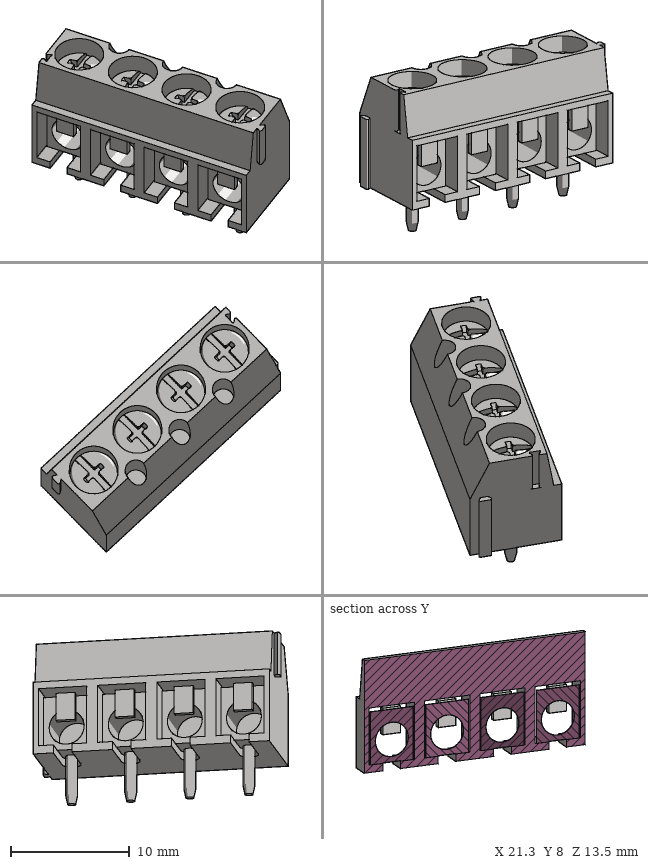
import cadquery as cq
import math

pole_count = 4
pitch = 5.08
pole_positions = [(i - (pole_count - 1) / 2) * pitch for i in range(pole_count)]

overall_length = 21.27
housing_length = 20.31
front_y = -3.8
back_y = 4.2
top_z = 10.0
shoulder_z = 6.3
ledge_depth = 0.7
top_front_inset = 1.3
top_back_inset = 1.7
top_back_y = back_y - top_back_inset

corner_radius = 0.15
left_rail_reach = 0.47
left_rail_y = 2.94
left_rail_width = 1.1
left_rail_neck = 0.7
right_rail_reach = overall_length - housing_length - left_rail_reach
right_rail_y = -1.57
right_rail_width = 0.9
right_rail_neck = 0.5
groove_depth = 0.5
groove_width = 0.94
groove_neck = 0.57
groove_flat = 0.09

entry_width = 4.13
entry_floor_z = 0.7
entry_top_z = 5.7

clamp_width = 3.95
clamp_top_z = 5.38
clamp_front_y = -2.1
clamp_back_y = -clamp_front_y
wire_bore_diameter = 3.0
wire_bore_z = 2.7
guard_width = 1.62
guard_bottom_z = 3.2
guard_top_z = 5.55
guard_thickness = 0.5

pin_diameter = 1.02
pin_tip_diameter = 0.68
pin_tip_length = 0.77
pin_reach = 3.5
pin_slot_width = 1.6

well_diameter = 4.13
screw_diameter = 4.05
screw_seat_z = 7.45
screw_rim_z = 8.17
crown_diameter = 3.23
crown_edge_z = 8.7
crown_top_z = 8.98
drive_floor_z = 8.3
drive_slot_width = 0.62
cross_slot_width = 0.47
cross_slot_length = 2.08
cross_slot_floor_length = 1.5
corner_bevel_width = 0.2
corner_bevel_depth = 0.15

notch_diameter = 1.8


def make_box(x_range, y_range, z_range):
    """Box between the given limits on each axis."""
    sizes = [limits[1] - limits[0] for limits in (x_range, y_range, z_range)]
    return cq.Workplane("XY").box(*sizes, centered=False).translate((x_range[0], y_range[0], z_range[0]))


def make_rail(root_x, center_y, reach, width, neck, bottom_z, end_z):
    """Upright dovetail rail with rounded outer corners; a negative reach points to -X."""
    tip_x = root_x + reach
    flare_x = tip_x - math.copysign(corner_radius, reach)
    arc_radius = math.copysign(corner_radius, -reach)
    tip_half = width / 2 - corner_radius
    return (
        cq.Workplane("XY", origin=(0, center_y, bottom_z))
        .moveTo(root_x, -neck / 2)
        .lineTo(flare_x, -width / 2)
        .radiusArc((tip_x, -tip_half), arc_radius)
        .lineTo(tip_x, tip_half)
        .radiusArc((flare_x, width / 2), arc_radius)
        .lineTo(root_x, neck / 2)
        .close()
        .extrude(end_z - bottom_z)
    )


def make_groove():
    """Dovetail groove in the -X side, with a rounded mouth, facing the line of the right rail."""
    mouth_x = -housing_length / 2
    neck_x = mouth_x + corner_radius
    back_x = mouth_x + groove_depth
    flare_x = back_x - groove_flat
    mouth_half = groove_neck / 2 + corner_radius
    return (
        cq.Workplane("XY", origin=(0, right_rail_y, shoulder_z))
        .moveTo(mouth_x, -mouth_half)
        .radiusArc((neck_x, -groove_neck / 2), corner_radius)
        .lineTo(flare_x, -groove_width / 2)
        .lineTo(back_x, -groove_width / 2)
        .lineTo(back_x, groove_width / 2)
        .lineTo(flare_x, groove_width / 2)
        .lineTo(neck_x, groove_neck / 2)
        .radiusArc((mouth_x, mouth_half), corner_radius)
        .close()
        .extrude(top_z - shoulder_z)
    )


def make_housing_block():
    """Plain housing profile with its sloped back, drafted front and two rails."""
    block = (
        cq.Workplane("YZ", origin=(-housing_length / 2, 0, 0))
        .polyline([
            (front_y, 0),
            (back_y, 0),
            (back_y, shoulder_z),
            (top_back_y, top_z),
            (front_y + top_front_inset, top_z),
            (front_y + ledge_depth, shoulder_z),
            (front_y, shoulder_z),
        ])
        .close()
        .extrude(housing_length)
    )
    left_rail = make_rail(
        -housing_length / 2, left_rail_y, -left_rail_reach,
        left_rail_width, left_rail_neck, 0, shoulder_z,
    )
    right_rail = make_rail(
        housing_length / 2, right_rail_y, right_rail_reach,
        right_rail_width, right_rail_neck, shoulder_z, top_z,
    )
    return block.union(left_rail).union(right_rail).cut(make_groove())


def make_wire_entry(x):
    """Rectangular entry from the front face to the back of the clamp."""
    return make_box(
        (x - entry_width / 2, x + entry_width / 2), (front_y, clamp_back_y), (entry_floor_z, entry_top_z)
    )


def make_pin_slot(x):
    """Slot in the floor, open at the front and rounded around the pin."""
    straight = make_box(
        (x - pin_slot_width / 2, x + pin_slot_width / 2), (front_y, 0), (0, entry_floor_z)
    )
    round_end = cq.Workplane("XY", origin=(x, 0, 0)).circle(pin_slot_width / 2).extrude(entry_floor_z)
    return straight.union(round_end)


def make_housing():
    housing = make_housing_block()
    for x in pole_positions:
        screw_well = (
            cq.Workplane("XY", origin=(x, 0, screw_seat_z))
            .circle(well_diameter / 2)
            .extrude(top_z - screw_seat_z)
        )
        housing = housing.cut(make_wire_entry(x)).cut(make_pin_slot(x)).cut(screw_well)
    for x in pole_positions[:-1]:
        notch = (
            cq.Workplane("XY", origin=(x + pitch / 2, top_back_y, shoulder_z))
            .circle(notch_diameter / 2)
            .extrude(top_z - shoulder_z)
        )
        housing = housing.cut(notch)
    return housing


def make_pin(x):
    """Round solder pin with a tapered tip, reaching up to the cavity floor."""
    return (
        cq.Workplane("XZ", origin=(x, 0, 0))
        .polyline([
            (0, -pin_reach),
            (pin_tip_diameter / 2, -pin_reach),
            (pin_diameter / 2, -pin_reach + pin_tip_length),
            (pin_diameter / 2, entry_floor_z),
            (0, entry_floor_z),
        ])
        .close()
        .revolve(360, (0, 0), (0, 1))
    )


def make_clamp(x):
    """Clamp standing on the cavity floor, with its bore, guard and pin in one piece."""
    block = make_box(
        (x - clamp_width / 2, x + clamp_width / 2),
        (clamp_front_y, clamp_back_y),
        (entry_floor_z, clamp_top_z),
    )
    wire_bore = (
        cq.Workplane("XZ", origin=(x, clamp_front_y, wire_bore_z))
        .circle(wire_bore_diameter / 2)
        .extrude(clamp_front_y - clamp_back_y)
    )
    guard = make_box(
        (x - guard_width / 2, x + guard_width / 2),
        (clamp_front_y - guard_thickness, clamp_front_y),
        (guard_bottom_z, guard_top_z),
    )
    return block.cut(wire_bore).union(guard).union(make_pin(x))


def make_drive_recess():
    """Through slot along Y, crossed by a shorter slot with conical ends.

    A four-sided pyramid frustum bevels the upper end of the four inner corners.
    """
    recess_depth = crown_top_z - drive_floor_z
    drive_slot = make_box(
        (-drive_slot_width / 2, drive_slot_width / 2),
        (-screw_diameter / 2, screw_diameter / 2),
        (drive_floor_z, crown_top_z),
    )
    cone = (
        cq.Workplane("XY", origin=(0, 0, drive_floor_z))
        .circle(cross_slot_floor_length / 2)
        .workplane(offset=recess_depth)
        .circle(cross_slot_length / 2)
        .loft()
    )
    cross_slot = cone.intersect(
        make_box(
            (-cross_slot_length / 2, cross_slot_length / 2),
            (-cross_slot_width / 2, cross_slot_width / 2),
            (drive_floor_z, crown_top_z),
        )
    )
    bevel_bottom_radius = (drive_slot_width + cross_slot_width) / 2
    bevel_top_radius = bevel_bottom_radius + corner_bevel_width
    corner_bevel = (
        cq.Workplane("XY", origin=(0, 0, crown_top_z - corner_bevel_depth))
        .polygon(4, 2 * bevel_bottom_radius)
        .workplane(offset=corner_bevel_depth)
        .polygon(4, 2 * bevel_top_radius)
        .loft(ruled=True)
    )
    return drive_slot.union(cross_slot).union(corner_bevel)


def make_screw(x):
    """Screw head with a rounded rim, a shallow crown, a through slot and a shorter cross slot."""
    rim_radius = screw_diameter / 2
    crown_radius = crown_diameter / 2
    rim_bulge = math.sqrt(0.5)
    rim_middle = (
        crown_radius + (rim_radius - crown_radius) * rim_bulge,
        screw_rim_z + (crown_edge_z - screw_rim_z) * rim_bulge,
    )
    crown_height = crown_top_z - crown_edge_z
    sphere_radius = (crown_radius**2 + crown_height**2) / (2 * crown_height)
    middle_radius = crown_radius / 2
    middle_drop = sphere_radius - math.sqrt(sphere_radius**2 - middle_radius**2)
    crown_middle = (middle_radius, crown_top_z - middle_drop)
    head = (
        cq.Workplane("XZ")
        .moveTo(0, screw_seat_z)
        .lineTo(rim_radius, screw_seat_z)
        .lineTo(rim_radius, screw_rim_z)
        .threePointArc(rim_middle, (crown_radius, crown_edge_z))
        .threePointArc(crown_middle, (0, crown_top_z))
        .close()
        .revolve(360, (0, 0), (0, 1))
    )
    return head.cut(make_drive_recess()).translate((x, 0, 0))


housing = make_housing()
clamps = [make_clamp(x) for x in pole_positions]
screws = [make_screw(x) for x in pole_positions]

result = cq.Compound.makeCompound(
    [housing.val()] + [clamp.val() for clamp in clamps] + [screw.val() for screw in screws]
)